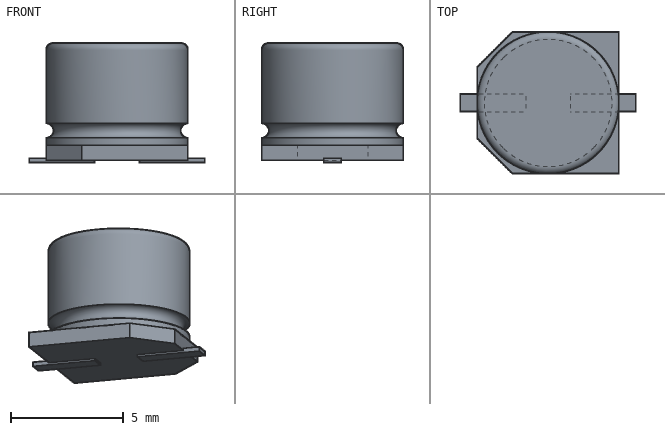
import cadquery as cq

body_width = 6.3
total_height = 5.31

lead_span = 7.8
lead_width = 0.795
lead_thickness = 0.195
lead_gap = 2.0
lead_length = (lead_span - lead_gap) / 2

base_bottom = lead_thickness / 2
base_top = 0.765
corner_cut = body_width / 4

can_radius = body_width / 2
rim_radius = 0.31
groove_radius = 0.32
groove_center_height = 1.42


def make_base():
    return (
        cq.Workplane("XY")
        .workplane(offset=base_bottom)
        .rect(body_width, body_width)
        .extrude(base_top - base_bottom)
        .edges("|Z and <X")
        .chamfer(corner_cut)
    )


def make_can():
    can = (
        cq.Workplane("XY")
        .workplane(offset=base_top)
        .circle(can_radius)
        .extrude(total_height - base_top)
        .faces(">Z")
        .edges()
        .fillet(rim_radius)
    )
    groove = cq.Workplane("XY").add(
        cq.Solid.makeTorus(can_radius, groove_radius, cq.Vector(0, 0, groove_center_height))
    )
    return can.cut(groove)


def make_lead(side):
    center_x = side * (lead_gap + lead_length) / 2
    return (
        cq.Workplane("XY")
        .center(center_x, 0)
        .rect(lead_length, lead_width)
        .extrude(lead_thickness)
    )


result = make_base().union(make_can())
for side in (-1, 1):
    result = result.union(make_lead(side))